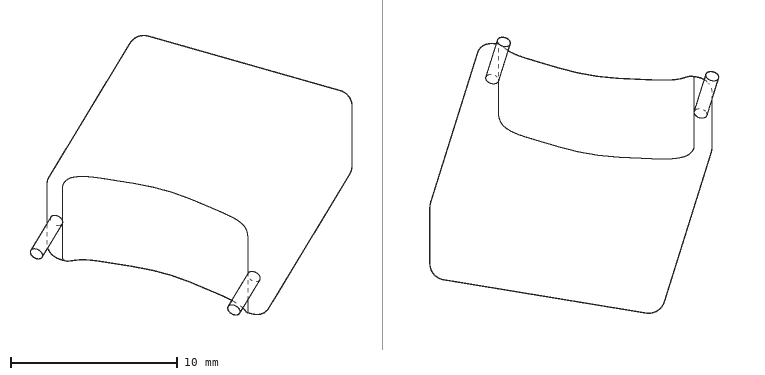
import cadquery as cq

total_length = 17.45
case_width = 14.48
case_height = 6.9
lead_length = 3.18
case_length = total_length - lead_length

main_radius = 1.0
front_radius = 0.5

recess_depth = 1.57
recess_half_width = 6.04
shoulder_x = 5.53
shoulder_y = 0.52
flank_x = 3.61
flank_y = 1.13

lead_diameter = 0.8
lead_spacing = 12.86



def make_case_block():
    """Box with large rounds on the sides and back, and small rounds around the front face."""
    block = cq.Workplane("XY").box(case_width, case_length, case_height, centered=(True, False, True))
    block = block.edges("|Y").fillet(main_radius)
    block = block.faces(">Y").edges().fillet(main_radius)
    return block.faces("<Y").edges().fillet(front_radius)


def make_recess_cutter():
    """Prism under a smooth arch, which hollows the front face over the full height."""
    left_points = [
        (-recess_half_width, 0),
        (-shoulder_x, shoulder_y),
        (-flank_x, flank_y),
    ]
    right_points = [(-x, y) for x, y in reversed(left_points)]
    arch_points = left_points + [(0, recess_depth)] + right_points
    return (
        cq.Workplane("XY", origin=(0, 0, -case_height / 2))
        .spline(arch_points)
        .close()
        .extrude(case_height)
    )


def make_case():
    return make_case_block().cut(make_recess_cutter())


def make_lead(x):
    """Round wire that runs forward from the front face."""
    return cq.Workplane("XZ").center(x, 0).circle(lead_diameter / 2).extrude(lead_length)


case = make_case()
leads = [make_lead(side * lead_spacing / 2) for side in (-1, 1)]

result = cq.Compound.makeCompound([case.val(), *[lead.val() for lead in leads]])